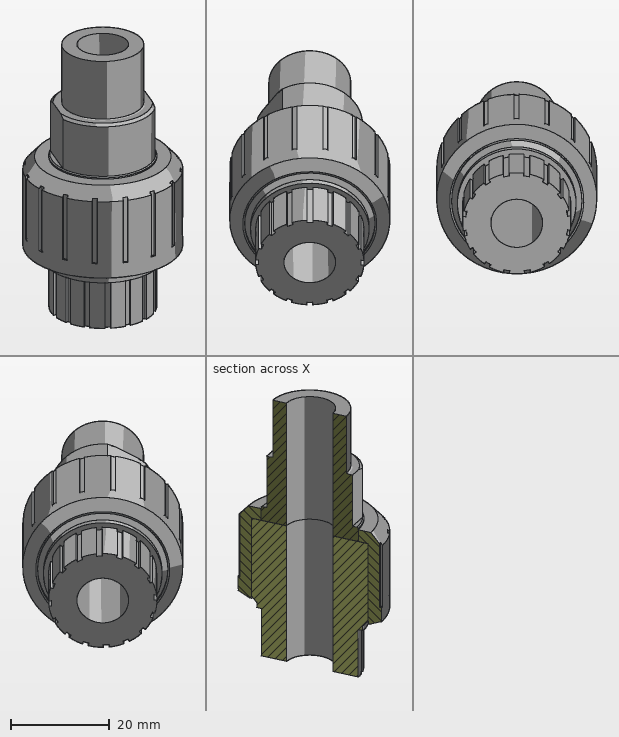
import cadquery as cq

TOTAL_HEIGHT = 58.5
BORE_DIA = 10.5

SPLINE_DIA = 22.0
SPLINE_HEIGHT = 10.7
SPLINE_GROOVE_COUNT = 16
SPLINE_GROOVE_WIDTH = 1.15
SPLINE_GROOVE_DEPTH = 0.6
FLANGE_DIA = 24.1
FLANGE_THICKNESS = 1.15
BARREL_DIA = 26.45

NUT_DIA = 32.5
NUT_BOTTOM_Z = 12.5
NUT_TOP_Z = 33.4
NUT_BOTTOM_FACE_DIA = 27.2
NUT_BOTTOM_BEVEL_HEIGHT = 1.15
NUT_TOP_FACE_DIA = 27.7
NUT_TOP_BEVEL_HEIGHT = 2.65
NUT_GROOVE_COUNT = 16
NUT_GROOVE_WIDTH = 1.0
NUT_GROOVE_DEPTH = 0.45
NUT_GROOVE_BOTTOM_Z = 16.9

NECK_DIA = 22.0
NECK_TOP_Z = 33.95
NECK_CHAMFER_HEIGHT = 0.25
TAIL_BODY_DIA = 21.45
SHOULDER_Z = 45.5
SHOULDER_CHAMFER_WIDTH = 0.65
SHOULDER_CHAMFER_HEIGHT = 0.5
WRENCH_FLAT_SPAN = 19.5
SPIGOT_DIA = 16.7
SPIGOT_ROOT_WIDTH = 0.45
SPIGOT_ROOT_HEIGHT = 0.1

JOINT_Z = NUT_TOP_Z - NUT_TOP_BEVEL_HEIGHT


def turned(profile):
    """Solid of revolution about Z from (radius, z) points."""
    return cq.Workplane("XZ").polyline(profile).close().revolve(360, (0, 0, 0), (0, 1, 0))


def cut_grooves(body, outer_dia, count, width, depth, bottom_z, top_z, first_angle):
    """Cut straight axial grooves, equally spaced around the outside of a body."""
    cutter_depth = 2 * depth
    floor_radius = outer_dia / 2 - depth
    groove = cq.Workplane("XY").box(cutter_depth, width, top_z - bottom_z, centered=(False, True, False))
    groove = groove.translate((floor_radius, 0, bottom_z))
    for i in range(count):
        body = body.cut(groove.rotate((0, 0, 0), (0, 0, 1), first_angle + i * 360 / count))
    return body


def make_lower_end():
    bore_radius = BORE_DIA / 2
    flange_radius = FLANGE_DIA / 2
    barrel_radius = BARREL_DIA / 2
    flange_top_z = SPLINE_HEIGHT + FLANGE_THICKNESS
    cone_top_z = flange_top_z + barrel_radius - flange_radius
    body = turned([
        (bore_radius, 0),
        (SPLINE_DIA / 2, 0),
        (SPLINE_DIA / 2, SPLINE_HEIGHT),
        (flange_radius, SPLINE_HEIGHT),
        (flange_radius, flange_top_z),
        (barrel_radius, cone_top_z),
        (barrel_radius, JOINT_Z),
        (bore_radius, JOINT_Z),
    ])
    half_pitch = 180 / SPLINE_GROOVE_COUNT
    return cut_grooves(body, SPLINE_DIA, SPLINE_GROOVE_COUNT, SPLINE_GROOVE_WIDTH, SPLINE_GROOVE_DEPTH,
                       0, SPLINE_HEIGHT, half_pitch)


def make_nut():
    body = turned([
        (BARREL_DIA / 2, NUT_BOTTOM_Z),
        (NUT_BOTTOM_FACE_DIA / 2, NUT_BOTTOM_Z),
        (NUT_DIA / 2, NUT_BOTTOM_Z + NUT_BOTTOM_BEVEL_HEIGHT),
        (NUT_DIA / 2, NUT_TOP_Z - NUT_TOP_BEVEL_HEIGHT),
        (NUT_TOP_FACE_DIA / 2, NUT_TOP_Z),
        (NECK_DIA / 2, NUT_TOP_Z),
        (NECK_DIA / 2, JOINT_Z),
        (BARREL_DIA / 2, JOINT_Z),
    ])
    return cut_grooves(body, NUT_DIA, NUT_GROOVE_COUNT, NUT_GROOVE_WIDTH, NUT_GROOVE_DEPTH,
                       NUT_GROOVE_BOTTOM_Z, NUT_TOP_Z, 0)


def cut_wrench_flats(body):
    """Cut two flats facing -Y and +Y, from the neck up to the shoulder."""
    flat_height = SHOULDER_Z - NECK_TOP_Z
    for side in (-1, 1):
        cutter = cq.Workplane("XY").box(TAIL_BODY_DIA, TAIL_BODY_DIA, flat_height, centered=(True, True, False))
        center_y = side * (WRENCH_FLAT_SPAN + TAIL_BODY_DIA) / 2
        body = body.cut(cutter.translate((0, center_y, NECK_TOP_Z)))
    return body


def make_tail():
    bore_radius = BORE_DIA / 2
    body_radius = TAIL_BODY_DIA / 2
    spigot_radius = SPIGOT_DIA / 2
    body = turned([
        (bore_radius, JOINT_Z),
        (NECK_DIA / 2, JOINT_Z),
        (NECK_DIA / 2, NECK_TOP_Z - NECK_CHAMFER_HEIGHT),
        (body_radius, NECK_TOP_Z),
        (body_radius, SHOULDER_Z - SHOULDER_CHAMFER_HEIGHT),
        (body_radius - SHOULDER_CHAMFER_WIDTH, SHOULDER_Z),
        (spigot_radius + SPIGOT_ROOT_WIDTH, SHOULDER_Z),
        (spigot_radius, SHOULDER_Z + SPIGOT_ROOT_HEIGHT),
        (spigot_radius, TOTAL_HEIGHT),
        (bore_radius, TOTAL_HEIGHT),
    ])
    return cut_wrench_flats(body)


lower_end = make_lower_end()
nut = make_nut()
tail = make_tail()

result = cq.Compound.makeCompound([lower_end.val(), nut.val(), tail.val()])